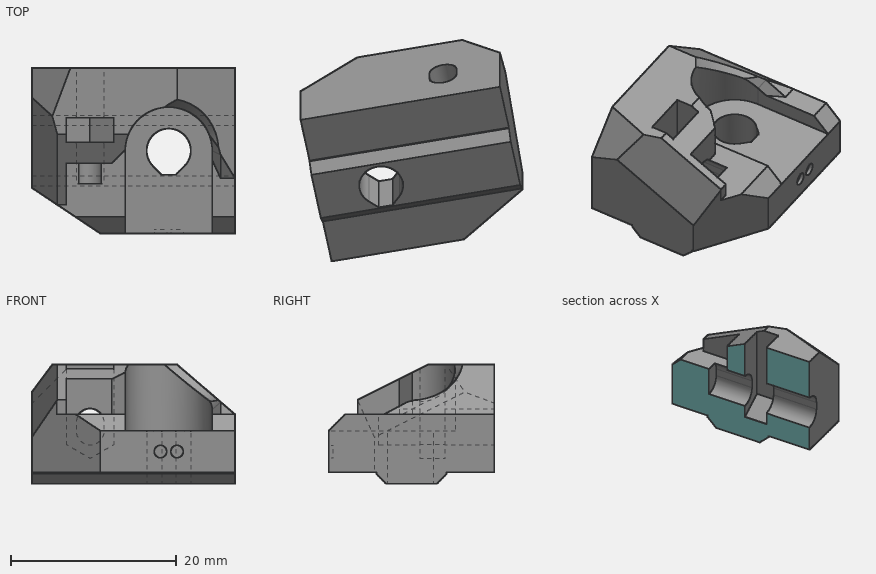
import cadquery as cq
import math

LENGTH = 24.5
WIDTH = 20.0
HEIGHT = 13.0
LEDGE_Z = 7.0
FRONT_CHAMFER = 2.0
OVERLAP = 10.0
CUT_TOP_Z = 3 * HEIGHT
CUT_SIZE = 100.0
TOLERANCE = 0.001

CORNER_CUT_X = 8.25
CORNER_CUT_Y = 5.5

RAIL_DEPTH = 1.4
RAIL_WIDTH = 8.5
RAIL_LIP = 0.2
RAIL_CENTER_Y = WIDTH / 2

SLOPE_START_Y = 12.0
SLOPE_GRADE = 0.5
UPPER_FRONT_Y = 3.5

RAMP_START_X = 17.5
RIGHT_SLOPE_FOOT_Y = 6.7
RIGHT_SLOPE_GRADE = 0.53

LEFT_SLOPE_Z = 4.25
LEFT_SLOPE_GRADE_X = 1.8

BACK_FACET_Z = 8.35
BACK_FACET_GRADE_X = 1.0
BACK_FACET_GRADE_Y = -0.375

SLOT_X = 16.5
SLOT_Y = 10.0
SLOT_RADIUS = 5.25
SLOT_FLOOR_Z = 5.0
SLOT_EDGE_CHAMFER = 1.0
TOWER_SPLIT_X = SLOT_X - 1.5
HOLE_RADIUS = 2.65
HOLE_FLAT = 2.9

RECESS_LEFT_X = 4.15
RECESS_RIGHT_X = 9.65
RECESS_BACK_Y = 8.5

SCREW_X = 7.0
SCREW_LOW_Z = 5.0
SCREW_TRAVEL = 1.0
SCREW_DIAMETER = 3.35
SCREW_START_Y = 6.0
NUT_FLATS = 5.7
NUT_FRONT_Y = 11.0
NUT_THICKNESS = 3.0

PIN_DIAMETER = 1.5
PIN_SPACING = 2.0
PIN_Z = 2.5
PIN_DEPTH = 0.5


def box(x0, x1, y0, y1, z0, z1):
    """Block between two corners."""
    return cq.Workplane("XY").box(x1 - x0, y1 - y0, z1 - z0, centered=False).translate((x0, y0, z0))


def along_x(points, x0, x1):
    """Prism with a (y, z) outline running from x0 to x1."""
    return cq.Workplane("YZ", origin=(x0, 0, 0)).polyline(points).close().extrude(x1 - x0)


def above_plane(point, grade_x, grade_y):
    """Large block resting on the plane through point with the given rise per mm of X and Y."""
    plane = cq.Plane(origin=point, xDir=(1, 0, grade_x), normal=(-grade_x, -grade_y, 1))
    return cq.Workplane(plane).rect(CUT_SIZE, CUT_SIZE).extrude(CUT_SIZE)


def slot_cutter(floor_z):
    """Round-ended slot rising from floor_z and open toward the front."""
    left_x = SLOT_X - SLOT_RADIUS
    right_x = SLOT_X + SLOT_RADIUS
    straight = box(left_x, right_x, -2 * OVERLAP, SLOT_Y, floor_z, CUT_TOP_Z)
    end = cq.Workplane("XY", origin=(SLOT_X, SLOT_Y, floor_z)).circle(SLOT_RADIUS)
    end = end.extrude(CUT_TOP_Z - floor_z)
    return straight.union(end)


def make_base():
    """Lower portion up to the ledge, with its front chamfer, slot and underside rail."""
    base = box(0, LENGTH, 0, WIDTH, 0, LEDGE_Z)
    base = base.faces("<Y").edges(">Z").chamfer(FRONT_CHAMFER)
    base = base.cut(slot_cutter(SLOT_FLOOR_Z))

    half = RAIL_WIDTH / 2
    foot = half - (RAIL_DEPTH - RAIL_LIP)
    profile = [
        (RAIL_CENTER_Y - half, 0),
        (RAIL_CENTER_Y - half, -RAIL_LIP),
        (RAIL_CENTER_Y - foot, -RAIL_DEPTH),
        (RAIL_CENTER_Y + foot, -RAIL_DEPTH),
        (RAIL_CENTER_Y + half, -RAIL_LIP),
        (RAIL_CENTER_Y + half, 0),
    ]
    return base.union(along_x(profile, 0, LENGTH))


def on_slot_rim(edge):
    """True for an edge above Z = 0 that lies on the slot wall and is not upright."""
    middle = edge.positionAt(0.5)
    wall_offset = math.hypot(middle.x - SLOT_X, max(middle.y - SLOT_Y, 0)) - SLOT_RADIUS
    bounds = edge.BoundingBox()
    upright = max(bounds.xlen, bounds.ylen) < TOLERANCE
    return abs(wall_offset) < TOLERANCE and not upright and middle.z > 0


def make_sloped_tower(point, grade_x, grade_y):
    """Block right of the split with a tilted top and a chamfer along the rim of the slot."""
    tower = box(TOWER_SPLIT_X, LENGTH, -OVERLAP / 2, WIDTH, -OVERLAP, CUT_TOP_Z)
    tower = tower.cut(above_plane(point, grade_x, grade_y))
    tower = tower.cut(slot_cutter(-OVERLAP))
    rim = [edge for edge in tower.edges().vals() if on_slot_rim(edge)]
    return tower.newObject(rim).chamfer(SLOT_EDGE_CHAMFER)


def make_right_tower():
    """Upper portion to the right of the split, its top the lower of the ramp and the front slope."""
    ramp_grade = -(HEIGHT - LEDGE_Z) / (LENGTH - RAMP_START_X)
    ramp_tower = make_sloped_tower((LENGTH, 0, LEDGE_Z), ramp_grade, 0)
    slope_foot = (LENGTH, RIGHT_SLOPE_FOOT_Y, LEDGE_Z)
    slope_tower = make_sloped_tower(slope_foot, 0, RIGHT_SLOPE_GRADE)
    behind_slope = box(0, LENGTH, SLOPE_START_Y, WIDTH, LEDGE_Z, HEIGHT)
    above_ledge = box(0, LENGTH, 0, WIDTH, LEDGE_Z, HEIGHT)
    return ramp_tower.intersect(slope_tower.union(behind_slope)).intersect(above_ledge)


def make_left_tower():
    """Upper portion to the left of the split, with its front slope."""
    tower = box(0, TOWER_SPLIT_X, UPPER_FRONT_Y, WIDTH, LEDGE_Z, HEIGHT)
    tower = tower.cut(above_plane((0, SLOPE_START_Y, HEIGHT), 0, SLOPE_GRADE))
    return tower.cut(slot_cutter(SLOT_FLOOR_Z))


def left_side_cutters():
    """Slope along the left side and facet on the back left corner."""
    slope = above_plane((0, CORNER_CUT_Y, LEFT_SLOPE_Z), LEFT_SLOPE_GRADE_X, SLOPE_GRADE)
    facet = above_plane((0, WIDTH, BACK_FACET_Z), BACK_FACET_GRADE_X, BACK_FACET_GRADE_Y)
    left = box(-OVERLAP, TOWER_SPLIT_X, -OVERLAP, WIDTH + OVERLAP, 0, CUT_TOP_Z)
    return slope.union(facet).intersect(left)


def corner_cutter():
    """Full-height wedge off the front left corner."""
    corner = [(0, CORNER_CUT_Y), (CORNER_CUT_X, 0), (0, 0)]
    return cq.Workplane("XY").polyline(corner).close().extrude(HEIGHT)


def recess_cutter():
    """Pocket above the ledge, its back wall turning 45 degrees into the slot."""
    slot_left = SLOT_X - SLOT_RADIUS
    slant = slot_left - RECESS_RIGHT_X
    outline = [
        (RECESS_LEFT_X, 0),
        (RECESS_LEFT_X, RECESS_BACK_Y),
        (RECESS_RIGHT_X, RECESS_BACK_Y),
        (slot_left, RECESS_BACK_Y + slant),
        (SLOT_X, RECESS_BACK_Y + slant),
        (SLOT_X, 0),
    ]
    return cq.Workplane("XY", origin=(0, 0, LEDGE_Z)).polyline(outline).close().extrude(HEIGHT)


def screw_cutter():
    """Upright oblong bore along Y for the screw, running out of the back."""
    plane = cq.Workplane("XZ", origin=(SCREW_X, WIDTH, SCREW_LOW_Z + SCREW_TRAVEL / 2))
    outline = plane.slot2D(SCREW_DIAMETER + SCREW_TRAVEL, SCREW_DIAMETER, angle=90)
    return outline.extrude(WIDTH - SCREW_START_Y)


def nut_cutter():
    """Hexagonal nut seat with a corner at the bottom, open to the top."""
    half = NUT_FLATS / 2
    corner = NUT_FLATS / math.sqrt(3)
    outline = [
        (-half, HEIGHT),
        (-half, -corner / 2),
        (0, -corner),
        (half, -corner / 2),
        (half, HEIGHT),
    ]
    plane = cq.Workplane("XZ", origin=(SCREW_X, NUT_FRONT_Y + NUT_THICKNESS, SCREW_LOW_Z))
    return plane.polyline(outline).close().extrude(NUT_THICKNESS)


def teardrop_cutter():
    """Vertical hole with 45 degree flanks ending in a flat toward the front."""
    tangent = HOLE_RADIUS / math.sqrt(2)
    flat_half = 2 * tangent - HOLE_FLAT
    plane = cq.Workplane("XY", origin=(SLOT_X, SLOT_Y, -RAIL_DEPTH))
    outline = plane.moveTo(-tangent, -tangent).threePointArc((0, HOLE_RADIUS), (tangent, -tangent))
    outline = outline.lineTo(flat_half, -HOLE_FLAT).lineTo(-flat_half, -HOLE_FLAT).close()
    return outline.extrude(RAIL_DEPTH + HEIGHT)


def pin_cutters():
    """Two blind holes side by side in the front face, centered on the slot."""
    plane = cq.Workplane("XZ", origin=(SLOT_X, PIN_DEPTH, PIN_Z))
    half = PIN_SPACING / 2
    return plane.pushPoints([(-half, 0), (half, 0)]).circle(PIN_DIAMETER / 2).extrude(PIN_DEPTH)


result = make_base().union(make_left_tower()).union(make_right_tower())
for cutter in (
    left_side_cutters(),
    corner_cutter(),
    recess_cutter(),
    screw_cutter(),
    nut_cutter(),
    teardrop_cutter(),
    pin_cutters(),
):
    result = result.cut(cutter)
result = result.clean()